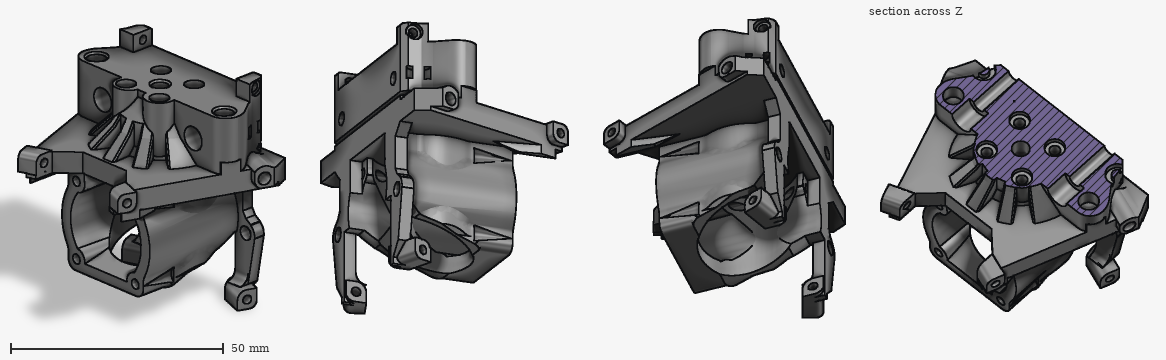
import cadquery as cq
import math


top_z = 32.85
ear_top_z = 37.35
plate_top_z = 18.45
plate_bottom_z = 13.0
lug_bottom_z = 14.0
foot_bottom_z = -21.12
foot_top_z = -16.1

side_angle = 20.0
side_sin = math.sin(math.radians(side_angle))
side_cos = math.cos(math.radians(side_angle))
side_slope = math.tan(math.radians(side_angle))
plate_rear_x = -27.77
rear_lug_corner = (-30.59, -6.17)
plate_corner_y = -3.6
plate_corner_x = plate_rear_x + (rear_lug_corner[0] - plate_rear_x) * plate_corner_y / rear_lug_corner[1]
plate_corner = (plate_corner_x, plate_corner_y)
tongue_front_y = -43.35
front_lug_corner = (-18.65, -39.5)
front_lug_width = 4.8
front_lug_top_z = 18.8
front_lug_hole_z = 16.4
lug_inner_x = -12.5
front_edge = (-7.45, -32.1)
small_pin_diameter = 2.2
front_lug_nose_radius = 1.8
lug_heel_radius = 2.0

rear_lug_width = 5.0
rear_lug_crest_radius = 3.2
rear_lug_hole_diameter = 3.2
rear_lug_hole_z = 16.4
rear_lug_hole_depth = 8.0
rear_lug_length = 9.0
rear_lug_blend = 1.1
rear_lug_crest_start = 0.6

block_front_y = -18.05
block_rear_x = -19.6
block_rear_bevel_end = (-21.0, -1.45)
block_side_end = (-21.5, -4.65)
block_side_curve = ((-22.1, -6.0), (-22.6, -7.05))
block_flare_end = (-24.6, -9.85)
block_flare_curve_middle = (-25.75, -11.7)
block_corner = (-22.0, -13.85)
block_corner_radius = block_corner[1] - block_front_y
head_y = -14.08
bolt_offset = 8.0 / math.sqrt(2)
boss_centre = (-5.15, -19.2)
boss_radius = 3.9
seat_front_y = -17.5
seat_rear_y = -12.9
seat_top_z = 21.5
bolt_diameter = 2.7
bolt_head_diameter = 4.8
bolt_head_depth = 9.0
centre_bore_diameter = 4.2
bore_chamfer = 0.5
corner_hole = (-21.75, -14.0)
corner_hole_diameter = 4.8
corner_hole_depth = 12.0
cross_hole = (-15.4, 25.0)
cross_hole_diameter = 3.2
cross_head_diameter = 6.0
cross_head_depth = 6.0
ear_inner_x = -17.5
ear_front_y = -6.05
ear_hole = (-2.97, 35.17)
ear_recess_diameter = 3.8
ear_recess_x = -20.3
ear_rear_chamfer = 0.4
tie_ring = (-21.5, -3.85)
tie_inner_radius = 1.4
tie_outer_radius = 2.85
tie_height = 3.0
groove_depth = 2.75
groove_bottom_z = 18.85
groove_top_z = 20.4
groove_lip_height = 0.55
groove_lip_width = 0.7

drum_radius = 10.0
drum_foot_radius = 11.7
drum_foot_top_z = 20.4
drum_shoulder_z = 26.7
neck_radius = 6.1
neck_z = 31.0
rib_base_radius = 17.1
rib_knee_radius = 11.7
rib_inner_width = 2.9
rib_outer_width = 4.1
rib_chamfer = 0.4
rib_angles = (-30.0, 0.0, 30.0)
side_rib_start = 53.0
side_rib_end = 88.0

case_front_y = -31.7
arm_thickness = 3.05
case_half_width = 12.75
case_half_height = 13.0
case_radius = 15.0
case_blend = 3.5
case_corner_radius = 2.4
liner_radius = 14.1
liner_blend = 4.2
flank_top_z = -8.9
flank_bottom_z = -10.6
bore_radius = 12.0
rear_bore_radius = 11.45
liner_bore_radius = 12.0
window_half_width = 7.27
floor_z = -10.3
floor_slope = 0.2
screw_pitch = 10.0
screw_diameter = 2.45
screw_boss_radius = 2.85
lower_screw_depth = 8.0
belly = ((-arm_thickness, -3.76), (-3.9, -3.76), (-7.66, -6.97), (-23.8, -case_half_height))
relief_x = 13.9
relief_z = 9.7
relief_radius = 2.2
relief_rear_y = -21.85
relief_tip_y = -31.4

arm_boss = (-17.5, -3.26)
arm_boss_radius = 3.1
arm_hole_diameter = 3.5
arm_root_x = -19.45
arm_waist_x = -16.6
arm_waist_top_z = 10.2
arm_waist_bottom_z = 2.2
arm_flare_middle = (-17.6, 0.55)
arm_flare_end = (-19.2, -0.55)
arm_boss_drop = 0.5
knee_x = -18.35
heel_x = -15.4
heel_z = -19.5
arm_inner_x = -13.93
arm_web_x = -10.35
foot_corner = (-21.4, -3.05)
foot_width = 5.0
foot_inner_x = -12.7
foot_hole_z = -18.65
foot_nose_radius = 2.4
foot_fillet = 2.65

web_bottom_z = 10.83
web_inner_x = -15.3
web_front_y = -41.4
web_knee_y = -37.1
web_rear_y = -25.6

overlap = 1.0
far = 100.0


def prism(points, z_low, z_high):
    return cq.Workplane("XY").workplane(offset=z_low).polyline(points).close().extrude(z_high - z_low)


def prism_x(points, x_low, x_high):
    return cq.Workplane("YZ", origin=(x_low, 0, 0)).polyline(points).close().extrude(x_high - x_low)


def box(x_range, y_range, z_range):
    sizes = [high - low for low, high in (x_range, y_range, z_range)]
    return cq.Workplane("XY").box(*sizes, centered=False).translate((x_range[0], y_range[0], z_range[0]))


def rod_z(x, y, diameter, z_low, z_high):
    return cq.Workplane("XY", origin=(x, y, z_low)).circle(diameter / 2).extrude(z_high - z_low)


def rod_y(x, z, diameter, y_front, y_rear):
    return cq.Workplane("XZ", origin=(x, y_rear, z)).circle(diameter / 2).extrude(y_rear - y_front)


def rod_x(y, z, diameter, x_low, x_high):
    return cq.Workplane("YZ", origin=(x_low, y, z)).circle(diameter / 2).extrude(x_high - x_low)


def both_sides(shape):
    return shape.union(shape.mirror("YZ"))


def side_x(y):
    """X of the slanted plate side at a given y."""
    return plate_corner[0] + (plate_corner[1] - y) * side_slope


def lug_plane(corner):
    """Plane of a lug end face: local x runs forward along the plate side, local y is up."""
    forward = (side_sin, -side_cos, 0)
    outward = (-side_cos, -side_sin, 0)
    return cq.Workplane(cq.Plane(origin=(*corner, 0), xDir=forward, normal=outward))


def square_lug(corner, width, z_low, z_high, inner_x, nose_radius):
    """Slanted lug with a rounded top front edge, cut off square at inner_x."""
    profile = (
        lug_plane(corner)
        .moveTo(lug_heel_radius, z_low)
        .lineTo(width, z_low)
        .lineTo(width, z_high - nose_radius)
        .radiusArc((width - nose_radius, z_high), -nose_radius)
        .lineTo(0, z_high)
        .lineTo(0, z_low + lug_heel_radius)
        .radiusArc((lug_heel_radius, z_low), -lug_heel_radius)
        .close()
    )
    return profile.extrude(-far).intersect(box((-far, inner_x), (-far, far), (-far, far)))


def lug_hole(corner, width, z, diameter, depth):
    return lug_plane(corner).center(width / 2, z).circle(diameter / 2).extrude(-depth)


def make_plate():
    neck_y = front_lug_corner[1] - lug_heel_radius / 2
    neck_x = side_x(neck_y)
    half = [
        (0, 0),
        (plate_rear_x, 0),
        plate_corner,
        (neck_x, neck_y),
        (lug_inner_x, neck_y + (lug_inner_x - neck_x) * side_slope),
        (lug_inner_x, web_knee_y),
        front_edge,
        (0, front_edge[1]),
    ]
    plate = prism(half, plate_bottom_z, plate_top_z)
    tongue = [
        (neck_x, neck_y),
        (side_x(tongue_front_y), tongue_front_y),
        (lug_inner_x, tongue_front_y + (lug_inner_x - side_x(tongue_front_y)) * side_slope),
        (lug_inner_x, web_knee_y),
    ]
    plate = plate.union(prism(tongue, plate_bottom_z, lug_bottom_z))
    lug = square_lug(
        front_lug_corner,
        front_lug_width,
        lug_bottom_z,
        front_lug_top_z,
        lug_inner_x,
        front_lug_nose_radius,
    )
    plate = plate.union(lug)
    web = [
        (side_x(web_knee_y), web_knee_y),
        (side_x(web_front_y), web_front_y),
        (web_inner_x, web_front_y),
        (web_inner_x, web_rear_y),
    ]
    web_profile = [
        (web_front_y, web_bottom_z),
        (case_front_y, web_bottom_z),
        (web_rear_y, plate_bottom_z),
        (web_rear_y, lug_bottom_z),
        (web_front_y, lug_bottom_z),
    ]
    plate = plate.union(prism(web, web_bottom_z, lug_bottom_z).intersect(prism_x(web_profile, -far, far)))
    hole = lug_hole(front_lug_corner, front_lug_width, front_lug_hole_z, small_pin_diameter, far / 2)
    hole = hole.intersect(box((-far, 0), (-far, web_knee_y), (-far, far)))
    return both_sides(plate.cut(hole))


def make_rear_lug():
    middle = rear_lug_width / 2
    shoulder_rise = math.sqrt(rear_lug_crest_radius**2 - middle**2)
    start_rise = math.sqrt(rear_lug_crest_radius**2 - (middle - rear_lug_crest_start) ** 2)
    crest_start = (rear_lug_crest_start, rear_lug_hole_z + start_rise)
    profile = (
        lug_plane(rear_lug_corner)
        .moveTo(-rear_lug_blend, lug_bottom_z)
        .lineTo(rear_lug_width - lug_heel_radius, lug_bottom_z)
        .radiusArc((rear_lug_width, lug_bottom_z + lug_heel_radius), -lug_heel_radius)
        .lineTo(rear_lug_width, rear_lug_hole_z + shoulder_rise)
        .threePointArc((middle, rear_lug_hole_z + rear_lug_crest_radius), crest_start)
        .lineTo(-rear_lug_blend, plate_top_z)
        .close()
    )
    end = (
        rear_lug_corner[0] + rear_lug_width * side_sin,
        rear_lug_corner[1] - rear_lug_width * side_cos,
    )
    area = [(0, 0), (plate_rear_x, 0), rear_lug_corner, end, (0, end[1])]
    lug = profile.extrude(-rear_lug_length).intersect(prism(area, lug_bottom_z, top_z))
    fill_x = block_corner[0]
    fill_y = rear_lug_corner[1] + (fill_x - rear_lug_corner[0]) * side_slope
    corner_fill = [(plate_rear_x, 0), rear_lug_corner, (fill_x, fill_y), (fill_x, 0)]
    return both_sides(lug.union(prism(corner_fill, lug_bottom_z, plate_top_z)))


def block_side(z_low, z_high):
    """The -X half of the head block outline as a prism."""
    x, y = block_corner
    r = block_corner_radius
    return (
        cq.Workplane("XY", origin=(0, 0, z_low))
        .moveTo(0, 0)
        .lineTo(block_rear_x, 0)
        .lineTo(*block_rear_bevel_end)
        .lineTo(*block_side_end)
        .threePointArc(*block_side_curve)
        .lineTo(*block_flare_end)
        .threePointArc(block_flare_curve_middle, (x - r, y))
        .radiusArc((x, block_front_y), -r)
        .lineTo(0, block_front_y)
        .close()
        .extrude(z_high - z_low)
    )


def make_block():
    block = block_side(plate_bottom_z, top_z)
    ear = block_side(plate_top_z, ear_top_z).intersect(
        box((-far, ear_inner_x), (ear_front_y, far), (plate_top_z, far))
    )
    ear = ear.faces(">Z").edges(">Y").chamfer(ear_rear_chamfer)
    seat = [
        (side_x(seat_rear_y), seat_rear_y),
        (side_x(seat_front_y), seat_front_y),
        (block_corner[0], seat_front_y),
        (block_corner[0], seat_rear_y),
    ]
    outside = [(side_x(0), 0), (side_x(-far), -far), (-far, -far), (-far, 0)]
    block = block.cut(prism(outside, 0, seat_top_z))
    block = both_sides(block.union(ear).union(prism(seat, plate_bottom_z, seat_top_z)))
    boss_x, boss_y = boss_centre
    reach = boss_radius - boss_x
    block = block.union(box((-reach, reach), (boss_y, head_y), (plate_bottom_z, top_z)))
    for x in (-boss_x, boss_x):
        block = block.union(rod_z(x, boss_y, 2 * boss_radius, plate_bottom_z, top_z))
    return block


def revolve_about_head(profile):
    """Turn an (r, z) outline about the vertical head axis."""
    turned = cq.Workplane("XZ").polyline(profile).close().revolve(360, (0, 0, 0), (0, 1, 0))
    return turned.translate((0, head_y, 0))


def chamfer_crest(rib):
    """Bevel the sloping edges along the outside of a rib."""
    crest_edges = []
    for edge in rib.edges().vals():
        size = edge.BoundingBox()
        if min(size.ylen, size.zlen) > rib_chamfer:
            crest_edges.append(edge)
    return rib.newObject(crest_edges).chamfer(rib_chamfer)


def make_drum():
    base_z = plate_bottom_z + overlap
    drum = revolve_about_head([
        (0, base_z),
        (drum_foot_radius, base_z),
        (drum_foot_radius, plate_top_z),
        (drum_radius, drum_foot_top_z),
        (drum_radius, drum_shoulder_z),
        (neck_radius, neck_z),
        (neck_radius, top_z),
        (0, top_z),
    ])
    knee_z = plate_top_z + rib_base_radius - rib_knee_radius
    rib_cone = revolve_about_head([
        (0, plate_top_z),
        (rib_base_radius, plate_top_z),
        (rib_knee_radius, knee_z),
        (drum_radius, drum_shoulder_z),
        (0, drum_shoulder_z),
    ])
    wedge = [
        (-rib_inner_width / 2, head_y - drum_radius + overlap),
        (rib_inner_width / 2, head_y - drum_radius + overlap),
        (rib_outer_width / 2, head_y - rib_base_radius - overlap),
        (-rib_outer_width / 2, head_y - rib_base_radius - overlap),
    ]
    rib = rib_cone.intersect(prism(wedge, plate_top_z, top_z))
    rib = chamfer_crest(rib)
    for angle in rib_angles:
        drum = drum.union(rib.rotate((0, head_y, 0), (0, head_y, 1), angle))
    sector = [(0, head_y)]
    for angle in (side_rib_start, side_rib_end):
        reach = 2 * rib_base_radius
        sector.append((
            -reach * math.sin(math.radians(angle)),
            head_y - reach * math.cos(math.radians(angle)),
        ))
    side_rib = chamfer_crest(rib_cone.intersect(prism(sector, plate_top_z, top_z)))
    return drum.union(both_sides(side_rib))


def cut_head(body):
    for x in (-bolt_offset, bolt_offset):
        for y in (head_y - bolt_offset, head_y + bolt_offset):
            body = body.cut(rod_z(x, y, bolt_diameter, 0, top_z))
            body = body.cut(rod_z(x, y, bolt_head_diameter, top_z - bolt_head_depth, top_z))
    body = body.cut(chamfered_hole(0, head_y, centre_bore_diameter, top_z))
    hole_x, hole_y = corner_hole
    sides = chamfered_hole(hole_x, hole_y, corner_hole_diameter, corner_hole_depth)
    x, z = cross_hole
    sides = sides.union(rod_y(x, z, cross_hole_diameter, block_front_y, 0))
    sides = sides.union(rod_y(x, z, cross_head_diameter, block_front_y, block_front_y + cross_head_depth))
    y, z = ear_hole
    sides = sides.union(rod_x(y, z, small_pin_diameter, -far, ear_inner_x))
    sides = sides.union(rod_x(y, z, ear_recess_diameter, -far, ear_recess_x))
    tie_z = cross_hole[1] - tie_height / 2
    tunnel = (
        cq.Workplane("XY", origin=(tie_ring[0], tie_ring[1], tie_z))
        .circle(tie_outer_radius)
        .circle(tie_inner_radius)
        .extrude(tie_height)
    )
    sides = sides.union(tunnel)
    return body.cut(both_sides(sides)).cut(make_groove())


def chamfered_hole(x, y, diameter, depth):
    radius = diameter / 2
    return (
        cq.Workplane("XZ", origin=(x, y, top_z))
        .polyline([
            (0, 0),
            (radius + bore_chamfer, 0),
            (radius, -bore_chamfer),
            (radius, -depth),
            (0, -depth),
        ])
        .close()
        .revolve(360, (0, 0, 0), (0, 1, 0))
    )


def make_groove():
    """Slot along X in the rear face, above the plate, with a pointed end and a low rear lip."""
    tip = (groove_top_z - groove_bottom_z) / 2
    profile = [
        (0, groove_top_z),
        (-groove_depth + tip, groove_top_z),
        (-groove_depth, groove_top_z - tip),
        (-groove_depth + tip, groove_bottom_z),
        (-groove_lip_width, groove_bottom_z),
        (-groove_lip_width, groove_bottom_z + groove_lip_height),
        (0, groove_bottom_z + groove_lip_height),
    ]
    return prism_x(profile, -far, far)


def make_case():
    rear_y = -arm_thickness
    case = box(
        (-case_half_width, case_half_width), (case_front_y, rear_y), (-case_half_height, case_half_height)
    )
    barrel = rod_y(0, 0, 2 * case_radius, case_front_y, rear_y).intersect(
        box((-far, far), (-far, far), (-case_half_height, case_half_height))
    )
    case = case.union(barrel)
    meet_z = math.sqrt(case_radius**2 - case_half_width**2)
    for x in (-case_half_width, case_half_width):
        for z in (-meet_z, meet_z):
            middle = (x, (case_front_y + rear_y) / 2, z)
            case = case.edges(cq.selectors.NearestToPointSelector(middle)).fillet(case_blend)
    liner = rod_z(0, head_y, 2 * liner_radius, -case_half_height, case_half_height)
    case = case.union(liner.intersect(box((-far, far), (case_front_y, rear_y), (-far, far))))
    liner_reach = math.sqrt(liner_radius**2 - case_half_width**2)
    crossing_z = math.sqrt(case_radius**2 - liner_radius**2)
    flat_z = case_half_height - overlap
    for x in (-1, 1):
        for z in (-1, 1):
            seam_points = [(x * liner_radius, head_y, z * crossing_z)]
            for y in (-liner_reach, liner_reach):
                seam_points.append((x * case_half_width, head_y + y, z * flat_z))
            seams = [case.edges(cq.selectors.NearestToPointSelector(point)).val() for point in seam_points]
            case = case.newObject(seams).fillet(liner_blend)
    under = [*belly, (belly[-1][0], -far), (belly[0][0], -far)]
    case = case.cut(prism_x(under, -far, far))
    for x in (-case_half_width, case_half_width):
        corner = (x, (case_front_y + belly[-1][0]) / 2, -case_half_height)
        case = case.edges(cq.selectors.NearestToPointSelector(corner)).fillet(case_corner_radius)
    flank = [
        (-liner_radius, flank_top_z),
        (-case_half_width, flank_bottom_z),
        (-case_half_width, -case_half_height),
        (-case_radius, -case_half_height),
        (-case_radius, flank_top_z),
    ]
    return case.cut(both_sides(cq.Workplane("XZ").polyline(flank).close().extrude(-case_front_y)))


def make_arm():
    boss_x, boss_z = arm_boss
    outline = [
        (arm_root_x, plate_bottom_z),
        (arm_waist_x, arm_waist_top_z),
        (arm_waist_x, arm_waist_bottom_z),
        arm_flare_middle,
        arm_flare_end,
        (boss_x - arm_boss_radius, boss_z - arm_boss_drop),
        (knee_x, foot_top_z),
        (heel_x, heel_z),
        (heel_x, foot_bottom_z),
        (arm_inner_x, foot_bottom_z),
        (arm_inner_x, belly[0][1]),
        (arm_web_x, belly[0][1]),
        (arm_web_x, plate_bottom_z),
    ]
    arm = cq.Workplane("XZ").polyline(outline).close().extrude(arm_thickness)
    arm = arm.union(rod_y(boss_x, boss_z, 2 * arm_boss_radius, -arm_thickness, 0))
    arm = arm.cut(rod_y(boss_x, boss_z, arm_hole_diameter, -arm_thickness, 0))
    foot = square_lug(foot_corner, foot_width, foot_bottom_z, foot_top_z, foot_inner_x, foot_nose_radius)
    foot = foot.intersect(box((-far, 0), (-far, 0), (-far, 0)))
    instep = (
        cq.Workplane("YZ", origin=(knee_x, 0, 0))
        .moveTo(-arm_thickness, foot_top_z + foot_fillet)
        .radiusArc((-arm_thickness - foot_fillet, foot_top_z), foot_fillet)
        .lineTo(-arm_thickness, foot_top_z - overlap)
        .close()
        .extrude(arm_inner_x - knee_x)
    )
    hole = lug_hole(foot_corner, foot_width, foot_hole_z, small_pin_diameter, far / 2)
    hole = hole.intersect(box((-far, 0), (-far, 0), (-far, 0)))
    return both_sides(arm.union(foot).union(instep).cut(hole))


def make_bore():
    """Tapered bore with a rising floor, a window up to the plate and the upright liner bore."""
    taper = math.degrees(math.atan((bore_radius - rear_bore_radius) / -case_front_y))
    bore = (
        cq.Workplane("XZ", origin=(0, case_front_y, 0)).circle(bore_radius).extrude(case_front_y, taper=taper)
    )
    bore = bore.union(
        box((-window_half_width, window_half_width), (case_front_y, 0), (-case_half_height, plate_bottom_z))
    )
    floor_end_z = floor_z + (head_y - case_front_y) * floor_slope
    floor = [
        (case_front_y, floor_z),
        (head_y, floor_end_z),
        (head_y, -case_half_height),
        (0, -case_half_height),
        (0, plate_bottom_z),
        (case_front_y, plate_bottom_z),
    ]
    bore = bore.intersect(prism_x(floor, -far, far))
    for x in (-screw_pitch, screw_pitch):
        for z in (-screw_pitch, screw_pitch):
            bore = bore.cut(rod_y(x, z, 2 * screw_boss_radius, case_front_y, 0))
    liner = rod_z(0, head_y, 2 * liner_bore_radius, -case_half_height, plate_bottom_z)
    return bore.union(liner.intersect(box((-far, far), (-far, -arm_thickness), (-far, far))))


def make_screw_cuts():
    upper = rod_y(-screw_pitch, screw_pitch, screw_diameter, case_front_y, -arm_thickness)
    lower = rod_y(-screw_pitch, -screw_pitch, screw_diameter, case_front_y, case_front_y + lower_screw_depth)
    cuts = upper.union(lower)
    length = relief_rear_y - relief_tip_y
    tilt = math.degrees(math.atan((relief_x - case_half_width) / length))
    relief = cq.Workplane("XY").polyline([(0, 0), (-relief_radius, length), (0, length)]).close()
    relief = relief.revolve(360, (0, 0, 0), (0, 1, 0)).rotate((0, 0, 0), (0, 0, 1), tilt)
    for z in (-relief_z, relief_z):
        cuts = cuts.union(relief.translate((-case_half_width, relief_tip_y, z)))
    return both_sides(cuts)


case = make_case().union(make_arm()).cut(make_bore()).cut(make_screw_cuts())
head = make_plate().union(make_rear_lug()).union(make_block()).union(make_drum())
rear_pin = lug_hole(
    rear_lug_corner, rear_lug_width, rear_lug_hole_z, rear_lug_hole_diameter, rear_lug_hole_depth
)
body = head.union(case).cut(both_sides(rear_pin))
result = cut_head(body)